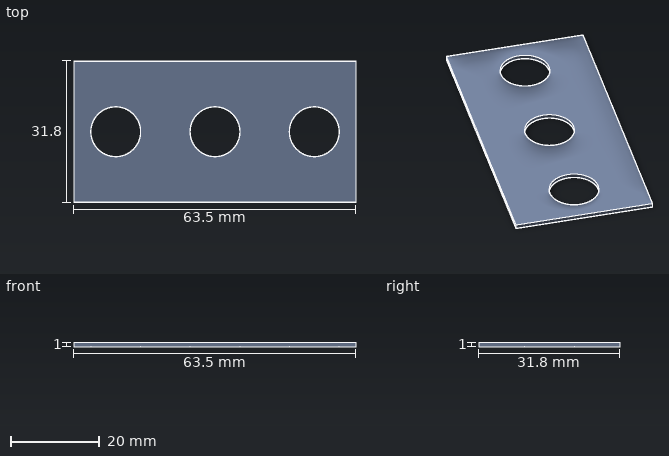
import cadquery as cq

length = 63.5
width = length / 2
thickness = 1.0

hole_diameter = 11.2
hole_count = 3
hole_pitch = 2 * hole_diameter

plate = cq.Workplane("XY").box(length, width, thickness)

result = (
    plate.faces(">Z")
    .workplane()
    .rarray(hole_pitch, 0.65, hole_count, 1)
    .hole(hole_diameter)
)